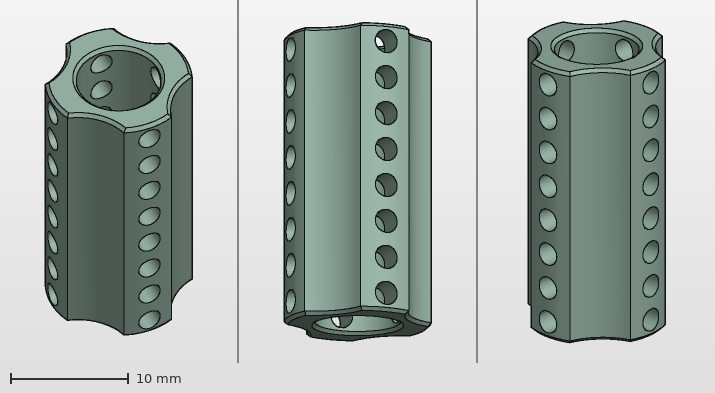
import cadquery as cq

length = 25.0
outer_diameter = 12.5
bore_diameter = 7.2
edge_chamfer = 0.3

flute_count = 4
flute_radius = 5.0
flute_axis_distance = 10.0
first_flute_angle = 180 / flute_count

hole_diameter = 2.0
holes_per_row = 8
hole_pitch = length / holes_per_row


def fluted_sleeve():
    """Bored cylinder with concave flutes, chamfered around both end faces."""
    cylinder = cq.Workplane("XY").circle(outer_diameter / 2).extrude(length)
    bore = cq.Workplane("XY").circle(bore_diameter / 2).extrude(length)
    flutes = (
        cq.Workplane("XY")
        .polarArray(flute_axis_distance, first_flute_angle, 360, flute_count)
        .circle(flute_radius)
        .extrude(length)
    )
    sleeve = cylinder.cut(flutes).cut(bore)
    return sleeve.faces("<Z or >Z").edges().chamfer(edge_chamfer)


def cross_hole_row(plane):
    """Cylinders for one row of holes, each passing through both walls of the sleeve."""
    centers = [(0, hole_pitch * (index + 0.5)) for index in range(holes_per_row)]
    return (
        cq.Workplane(plane)
        .pushPoints(centers)
        .circle(hole_diameter / 2)
        .extrude(outer_diameter / 2, both=True)
    )


result = fluted_sleeve()
for row_plane in ("XZ", "YZ"):
    result = result.cut(cross_hole_row(row_plane))